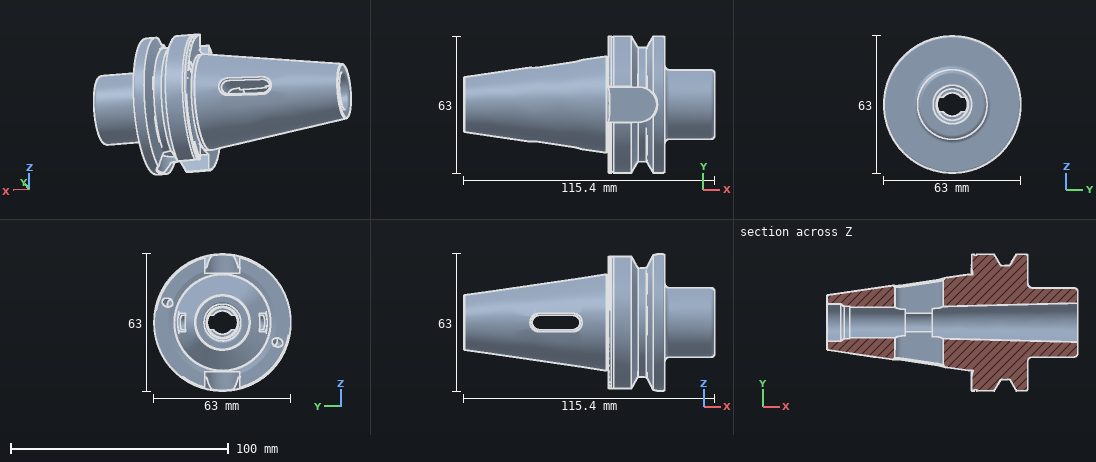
import cadquery as cq
import math

TOTAL_LENGTH = 115.4

TAPER_RATIO = 7 / 24
TAPER_LENGTH = 65.4
GAUGE_RADIUS = 44.45 / 2
TAPER_END_RADIUS = GAUGE_RADIUS - TAPER_LENGTH * TAPER_RATIO / 2
TAPER_END_CHAMFER = 0.4
NECK_RADIUS = 22.0

FLANGE_START = 66.4
FLANGE_END = 92.4
FLANGE_RADIUS = 31.5
FLANGE_FACE_FILLET = 0.6
FLANGE_BACK_FILLET = 1.0
RECESS_RADIUS = 24.9
RECESS_DEPTH = 0.7
MARK_START = 67.7
MARK_WIDTH = 1.2
MARK_DEPTH = 0.5

GROOVE_BOTTOM_RADIUS = 26.3
GROOVE_CENTER = 82.0
GROOVE_OUTER_WIDTH = 10.1
GROOVE_LEFT = GROOVE_CENTER - GROOVE_OUTER_WIDTH / 2
GROOVE_RIGHT = GROOVE_CENTER + GROOVE_OUTER_WIDTH / 2
GROOVE_FLANK_ANGLE = 30.0
GROOVE_ROOT_FILLET = 0.5

SPIGOT_RADIUS = 16.0
SPIGOT_FILLET = 2.0

KEY_WIDTH = 16.1
KEY_SEAT_HEIGHT = 22.6
KEY_SLOT_END = 88.6
KEY_EDGE_CHAMFER = 0.4

BORE_MOUTH_RADIUS = 9.6
PILOT_RADIUS = 8.5
PILOT_DEPTH = 6.5
PILOT_STEP_RADIUS = 8.0
THREAD_RELIEF_RADIUS = 7.4
THREAD_RELIEF_START = 8.0
THREAD_START = 10.5
THREAD_RADIUS = 6.95
THREAD_END = 36.0
THROUGH_RADIUS = 5.35

SOCKET_MOUTH_RADIUS = 17.78 / 2
SOCKET_DEPTH = 67.0
SOCKET_TAPER = 1 / 20.02

DRIFT_START = 31.4
DRIFT_LENGTH = 22.0
DRIFT_WIDTH = 6.5
DRIFT_EDGE_CHAMFER = 1.0

COOLANT_DIAMETER = 4.0
COOLANT_PITCH_RADIUS = 26.9
COOLANT_ANGLE = 20.0
COOLANT_TILT = 36.0
COOLANT_DEPTH = 3.0

SELECT_MARGIN = 0.1


def revolve_profile(points):
    """Turn a closed (x, radius) outline about the X axis."""
    return cq.Workplane("XY").polyline(points).close().revolve(360, (0, 0, 0), (1, 0, 0))


def make_taper():
    return revolve_profile([
        (0, 0),
        (0, TAPER_END_RADIUS - TAPER_END_CHAMFER),
        (TAPER_END_CHAMFER, TAPER_END_RADIUS),
        (TAPER_LENGTH, GAUGE_RADIUS),
        (TAPER_LENGTH + GAUGE_RADIUS - NECK_RADIUS, NECK_RADIUS),
        (FLANGE_END, NECK_RADIUS),
        (FLANGE_END, 0),
    ])


def make_flange():
    flank_run = (FLANGE_RADIUS - GROOVE_BOTTOM_RADIUS) * math.tan(math.radians(GROOVE_FLANK_ANGLE))
    flange = (
        cq.Workplane("XY")
        .moveTo(FLANGE_START + RECESS_DEPTH, 0)
        .lineTo(FLANGE_START + RECESS_DEPTH, NECK_RADIUS)
        .lineTo(FLANGE_START, RECESS_RADIUS)
        .lineTo(FLANGE_START, FLANGE_RADIUS - FLANGE_FACE_FILLET)
        .radiusArc((FLANGE_START + FLANGE_FACE_FILLET, FLANGE_RADIUS), FLANGE_FACE_FILLET)
        .lineTo(MARK_START, FLANGE_RADIUS)
        .sagittaArc((MARK_START + MARK_WIDTH, FLANGE_RADIUS), -MARK_DEPTH)
        .lineTo(GROOVE_LEFT, FLANGE_RADIUS)
        .lineTo(GROOVE_LEFT + flank_run, GROOVE_BOTTOM_RADIUS)
        .lineTo(GROOVE_RIGHT - flank_run, GROOVE_BOTTOM_RADIUS)
        .lineTo(GROOVE_RIGHT, FLANGE_RADIUS)
        .lineTo(FLANGE_END, FLANGE_RADIUS)
        .lineTo(FLANGE_END, 0)
        .close()
        .revolve(360, (0, 0, 0), (1, 0, 0))
    )
    reach = GROOVE_BOTTOM_RADIUS + SELECT_MARGIN
    root_edges = cq.selectors.BoxSelector(
        (GROOVE_LEFT + SELECT_MARGIN, -reach, -reach),
        (GROOVE_RIGHT - SELECT_MARGIN, reach, reach),
        boundingbox=True,
    )
    flange = flange.edges(root_edges).edges("%CIRCLE").fillet(GROOVE_ROOT_FILLET)
    return flange.faces(">X").edges().fillet(FLANGE_BACK_FILLET)


def make_body():
    spigot = (
        cq.Workplane("YZ", origin=(FLANGE_END, 0, 0))
        .circle(SPIGOT_RADIUS)
        .extrude(TOTAL_LENGTH - FLANGE_END)
        .faces(">X").edges().fillet(SPIGOT_FILLET)
    )
    body = make_taper().union(make_flange()).union(spigot)
    reach = SPIGOT_RADIUS + SELECT_MARGIN
    corner = cq.selectors.BoxSelector(
        (FLANGE_END - SELECT_MARGIN, -reach, -reach),
        (FLANGE_END + SELECT_MARGIN, reach, reach),
        boundingbox=True,
    )
    return body.edges(corner).fillet(SPIGOT_FILLET)


def make_key_slot():
    """Round-ended slot above the +Z key seat, open toward the taper."""
    half_width = KEY_WIDTH / 2
    arc_center = KEY_SLOT_END - half_width
    return (
        cq.Workplane("XY", origin=(0, 0, KEY_SEAT_HEIGHT))
        .moveTo(TAPER_LENGTH, -half_width)
        .lineTo(arc_center, -half_width)
        .threePointArc((KEY_SLOT_END, 0), (arc_center, half_width))
        .lineTo(TAPER_LENGTH, half_width)
        .close()
        .extrude(FLANGE_RADIUS)
    )


def make_key_rim_bevel():
    """Long bevel along both straight rims of the +Z key slot, running out into the gripper groove."""
    half_width = KEY_WIDTH / 2
    outer = half_width + KEY_EDGE_CHAMFER
    wall_top = math.sqrt(FLANGE_RADIUS**2 - half_width**2) - KEY_EDGE_CHAMFER
    outer_top = math.sqrt(FLANGE_RADIUS**2 - outer**2)
    return (
        cq.Workplane("YZ", origin=(FLANGE_START, 0, 0))
        .moveTo(-half_width, wall_top)
        .lineTo(half_width, wall_top)
        .lineTo(outer, outer_top)
        .lineTo(outer, FLANGE_RADIUS)
        .lineTo(-outer, FLANGE_RADIUS)
        .lineTo(-outer, outer_top)
        .close()
        .extrude(GROOVE_CENTER - FLANGE_START)
    )


def make_knob_bore():
    mouth_blend = BORE_MOUTH_RADIUS - PILOT_RADIUS
    socket_bottom = TOTAL_LENGTH - SOCKET_DEPTH
    return (
        cq.Workplane("XY")
        .lineTo(0, BORE_MOUTH_RADIUS)
        .radiusArc((mouth_blend, PILOT_RADIUS), -mouth_blend)
        .lineTo(PILOT_DEPTH, PILOT_RADIUS)
        .lineTo(PILOT_DEPTH + PILOT_RADIUS - PILOT_STEP_RADIUS, PILOT_STEP_RADIUS)
        .lineTo(THREAD_RELIEF_START, THREAD_RELIEF_RADIUS)
        .lineTo(THREAD_START, THREAD_RELIEF_RADIUS)
        .lineTo(THREAD_START, THREAD_RADIUS)
        .lineTo(THREAD_END, THREAD_RADIUS)
        .lineTo(THREAD_END, THROUGH_RADIUS)
        .lineTo(socket_bottom, THROUGH_RADIUS)
        .lineTo(socket_bottom, 0)
        .close()
        .revolve(360, (0, 0, 0), (1, 0, 0))
    )


def make_socket():
    bottom = TOTAL_LENGTH - SOCKET_DEPTH
    return revolve_profile([
        (bottom, 0),
        (bottom, SOCKET_MOUTH_RADIUS - SOCKET_DEPTH * SOCKET_TAPER / 2),
        (TOTAL_LENGTH, SOCKET_MOUTH_RADIUS),
        (TOTAL_LENGTH, 0),
    ])


def make_drift_slot():
    return (
        cq.Workplane("XZ", origin=(DRIFT_START + DRIFT_LENGTH / 2, 0, 0))
        .slot2D(DRIFT_LENGTH, DRIFT_WIDTH)
        .extrude(GAUGE_RADIUS, both=True)
    )


def make_coolant_hole():
    """Hole on the +Y side of the flange face, leaning inward, turned to its place about X."""
    tilt = math.radians(COOLANT_TILT)
    axis = cq.Vector(math.cos(tilt), -math.sin(tilt), 0)
    mouth = cq.Vector(FLANGE_START, COOLANT_PITCH_RADIUS, 0)
    lead_in = COOLANT_DIAMETER
    drill = cq.Solid.makeCylinder(
        COOLANT_DIAMETER / 2, COOLANT_DEPTH + lead_in, mouth - axis * lead_in, axis
    )
    return cq.Workplane(drill).rotate((0, 0, 0), (1, 0, 0), COOLANT_ANGLE)


def outer_drift_edges(solid):
    """Rim edges of the drift slot where it breaks out of the taper on the two Y sides."""
    half_width = DRIFT_WIDTH / 2 + SELECT_MARGIN
    start = DRIFT_START - SELECT_MARGIN
    end = DRIFT_START + DRIFT_LENGTH + SELECT_MARGIN
    inner = SOCKET_MOUTH_RADIUS
    outer = GAUGE_RADIUS
    front_rim = cq.selectors.BoxSelector((start, -outer, -half_width), (end, -inner, half_width))
    back_rim = cq.selectors.BoxSelector((start, inner, -half_width), (end, outer, half_width))
    return solid.edges(front_rim + back_rim)


def key_end_rims(solid):
    """Rims where the round ends of the key slots break through the outside of the flange."""
    half_width = KEY_WIDTH / 2 + SELECT_MARGIN
    inner = KEY_SEAT_HEIGHT + SELECT_MARGIN
    start = GROOVE_RIGHT + SELECT_MARGIN
    end = FLANGE_END - FLANGE_BACK_FILLET - SELECT_MARGIN
    top_rim = cq.selectors.BoxSelector((start, -half_width, inner), (end, half_width, FLANGE_RADIUS))
    bottom_rim = cq.selectors.BoxSelector((start, -half_width, -FLANGE_RADIUS), (end, half_width, -inner))
    return solid.edges(top_rim + bottom_rim).edges("not (%LINE or %CIRCLE)")


holder = make_body().cut(make_knob_bore()).cut(make_socket()).cut(make_drift_slot())
holder = outer_drift_edges(holder).chamfer(DRIFT_EDGE_CHAMFER)
for turn in (0, 180):
    for cutter in (make_key_slot(), make_key_rim_bevel(), make_coolant_hole()):
        holder = holder.cut(cutter.rotate((0, 0, 0), (1, 0, 0), turn))
holder = key_end_rims(holder).chamfer(KEY_EDGE_CHAMFER)

result = holder